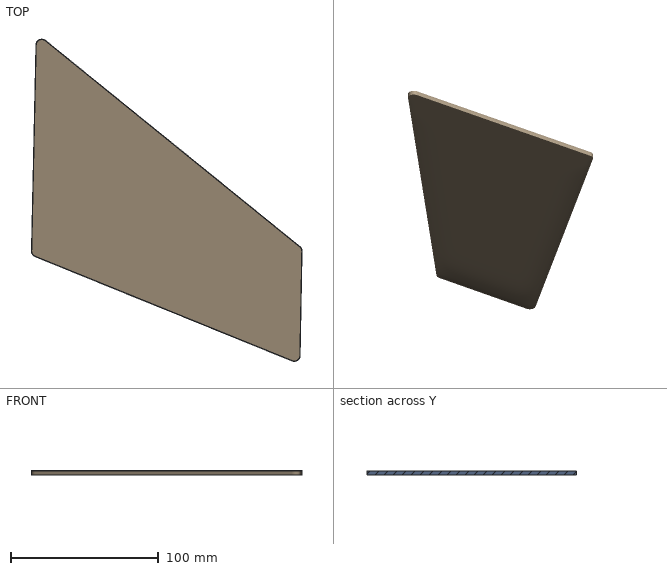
import cadquery as cq

length_x = 183.0
length_y = 217.9
thickness = 3.0
corner_radius = 4.0

left_bottom = (corner_radius, 74.5)
left_top = (7.0, length_y - corner_radius)
right_top = (length_x - corner_radius, 74.5)
right_bottom = (177.8, corner_radius)

result = (
    cq.Workplane("XY")
    .polyline([left_bottom, right_bottom, right_top, left_top])
    .close()
    .offset2D(corner_radius, "arc")
    .extrude(thickness)
)